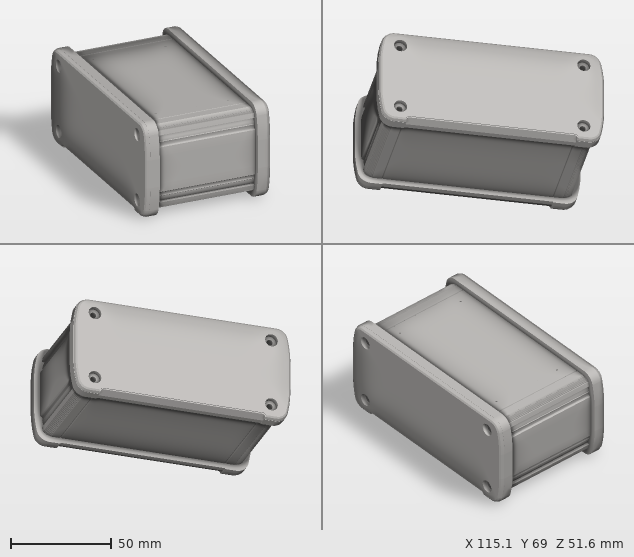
import cadquery as cq
import math

width = 115.1
length = 69.0
height = 51.6

cap_thickness = 7.5
side_flat_half = 7.6
side_radius = 57.5
corner_radius = 6.7

ledge_depth = 2.3
bevel_start_depth = 2.0
bevel_start_inset = 0.1
bevel_break_depth = 0.6
bevel_break_inset = 0.7
face_inset = 1.5

relief_half_width = 43.5
relief_face_height = 2.3
relief_back_height = 0.5
relief_slope_depth = 4.5
relief_corner = 1.0
relief_lip = 0.3
relief_lip_depth = 0.5

screw_x = 46.7
screw_z = 17.8
screw_clearance = 3.1
screw_head_diameter = 6.7
screw_head_depth = 2.9
screw_bore = 2.9
screw_bore_shift = 0.1

body_inset = 3.1
body_length = length - 2 * cap_thickness
body_half_width = width / 2 - body_inset
body_half_height = height / 2 - body_inset
body_side_radius = side_radius - body_inset

groove_start_z = 12.2
groove_floor_start_z = 12.8
groove_floor_end_z = 14.7
bead_start_z = 15.0
bead_end_z = 18.0
rib_start_z = 18.3
rib_end_z = 20.7
groove_floor_depth = 0.9
bead_recess = 0.9
groove_floor_sag = 0.2
bead_fall = 1.2
bead_bulge = 0.29

serration_end_x = 48.6
serration_count = 7
serration_depth = 0.4

v_groove_x = 43.6
v_groove_width = 0.9
v_groove_depth = 0.5

pilot_x = 37.0
pilot_y = 19.9
pilot_diameter = 0.9
pilot_depth = 1.7


def cap_outline(workplane, inset):
    """Cap outline drawn on an XZ workplane, moved inward by inset."""
    half_w = width / 2 - inset
    half_h = height / 2 - inset
    side_r = side_radius - inset
    corner_r = corner_radius - inset
    side_centre_x = width / 2 - side_radius
    corner_z = height / 2 - corner_radius
    centre_gap = side_radius - corner_radius
    blend = math.asin((corner_z - side_flat_half) / centre_gap)
    corner_x = side_centre_x + centre_gap * math.cos(blend)

    def on_side(angle):
        return (side_centre_x + side_r * math.cos(angle), side_flat_half + side_r * math.sin(angle))

    def on_corner(angle):
        return (corner_x + corner_r * math.cos(angle), corner_z + corner_r * math.sin(angle))

    mid_side = on_side(blend / 2)
    blend_point = on_side(blend)
    mid_corner = on_corner((blend + math.pi / 2) / 2)

    def flip(point, sx, sz):
        return (point[0] * sx, point[1] * sz)

    return (
        workplane.moveTo(half_w, -side_flat_half)
        .lineTo(half_w, side_flat_half)
        .threePointArc(mid_side, blend_point)
        .threePointArc(mid_corner, (corner_x, half_h))
        .lineTo(-corner_x, half_h)
        .threePointArc(flip(mid_corner, -1, 1), flip(blend_point, -1, 1))
        .threePointArc(flip(mid_side, -1, 1), (-half_w, side_flat_half))
        .lineTo(-half_w, -side_flat_half)
        .threePointArc(flip(mid_side, -1, -1), flip(blend_point, -1, -1))
        .threePointArc(flip(mid_corner, -1, -1), (-corner_x, -half_h))
        .lineTo(corner_x, -half_h)
        .threePointArc(flip(mid_corner, 1, -1), flip(blend_point, 1, -1))
        .threePointArc(flip(mid_side, 1, -1), (half_w, -side_flat_half))
        .close()
    )


def cap_plane(depth):
    """XZ workplane at a depth behind the outer face of the -Y cap."""
    return cq.Workplane("XZ", origin=(0, depth - length / 2, 0))


def bevel(back_depth, back_inset, front_depth, front_inset):
    """Bevelled layer between two outlines of different inset."""
    back = cap_outline(cap_plane(back_depth), back_inset)
    layer = cap_outline(back.workplane(offset=back_depth - front_depth), front_inset)
    return layer.loft(ruled=True, combine=True)


def relief_opening(margin, depth):
    """Chamfered notch in the cap's bottom edge, enlarged by margin and cut back from the face by depth."""
    bottom = -height / 2
    top = bottom + relief_face_height + margin
    half_w = relief_half_width + margin
    return (
        cap_plane(0)
        .moveTo(-half_w, bottom)
        .lineTo(-half_w, top - relief_corner)
        .lineTo(-half_w + relief_corner, top)
        .lineTo(half_w - relief_corner, top)
        .lineTo(half_w, top - relief_corner)
        .lineTo(half_w, bottom)
        .close()
        .extrude(-depth)
    )


def relief_cutter():
    """Sloped relief that leaves two feet under the cap, with a shallow lip around it in the face."""
    bottom = -height / 2
    front_y = -length / 2
    back_y = front_y + cap_thickness
    wedge = (
        cq.Workplane("YZ", origin=(-width / 2, 0, 0))
        .moveTo(front_y, bottom)
        .lineTo(front_y, bottom + relief_face_height)
        .lineTo(front_y + relief_slope_depth, bottom + relief_back_height)
        .lineTo(back_y, bottom + relief_back_height)
        .lineTo(back_y, bottom)
        .close()
        .extrude(width)
    )
    slope = wedge.intersect(relief_opening(0, cap_thickness))
    return slope.union(relief_opening(relief_lip, relief_lip_depth))


def make_front_cap():
    cap = cap_outline(cap_plane(cap_thickness), 0).extrude(cap_thickness - ledge_depth)
    ledge = cap_outline(cap_plane(ledge_depth), bevel_start_inset).extrude(ledge_depth - bevel_start_depth)
    outer_bevel = bevel(bevel_start_depth, bevel_start_inset, bevel_break_depth, bevel_break_inset)
    face_bevel = bevel(bevel_break_depth, bevel_break_inset, 0, face_inset)
    cap = cap.union(ledge).union(outer_bevel).union(face_bevel)
    cap = cap.cut(relief_cutter())
    screws = cap_plane(0).rect(2 * screw_x, 2 * screw_z, forConstruction=True).vertices()
    cap = cap.cut(screws.circle(screw_clearance / 2).extrude(-cap_thickness))
    return cap.cut(screws.circle(screw_head_diameter / 2).extrude(-screw_head_depth))


def side_x(z):
    """Half width of the smooth body side at height z."""
    rise = z - side_flat_half
    return body_half_width - body_side_radius + math.sqrt(body_side_radius**2 - rise**2)


def serration_points():
    """Alternating valleys and tips along the corner arc, ending on the broad face."""
    run = side_x(rib_end_z) - serration_end_x
    rise = body_half_height - rib_end_z
    radius = (run**2 + rise**2) / (2 * rise)
    centre_z = body_half_height - radius
    start = math.atan2(rib_end_z - centre_z, run)
    step = (math.pi / 2 - start) / (2 * serration_count)
    points = []
    for i in range(1, 2 * serration_count + 1):
        r = radius - serration_depth * (i % 2)
        angle = start + i * step
        points.append((serration_end_x + r * math.cos(angle), centre_z + r * math.sin(angle)))
    return points


def body_quarter():
    """One quarter of the extrusion, bounded by the two planes of symmetry."""
    floor_x = side_x(groove_floor_start_z) - groove_floor_depth
    floor_mid_z = (groove_floor_start_z + groove_floor_end_z) / 2
    bead_x = side_x(bead_start_z) - bead_recess
    bead_mid = (bead_x - bead_fall / 2 + bead_bulge, (bead_start_z + bead_end_z) / 2)
    return (
        cq.Workplane("XZ", origin=(0, body_length / 2, 0))
        .lineTo(body_half_width, 0)
        .lineTo(body_half_width, side_flat_half)
        .threePointArc(
            (side_x((side_flat_half + groove_start_z) / 2), (side_flat_half + groove_start_z) / 2),
            (side_x(groove_start_z), groove_start_z),
        )
        .lineTo(floor_x, groove_floor_start_z)
        .threePointArc((floor_x - groove_floor_sag, floor_mid_z), (floor_x, groove_floor_end_z))
        .lineTo(bead_x, bead_start_z)
        .threePointArc(bead_mid, (bead_x - bead_fall, bead_end_z))
        .lineTo(side_x(rib_start_z), rib_start_z)
        .threePointArc(
            (side_x((rib_start_z + rib_end_z) / 2), (rib_start_z + rib_end_z) / 2),
            (side_x(rib_end_z), rib_end_z),
        )
        .polyline(serration_points(), includeCurrent=True)
        .lineTo(v_groove_x + v_groove_width / 2, body_half_height)
        .lineTo(v_groove_x, body_half_height - v_groove_depth)
        .lineTo(v_groove_x - v_groove_width / 2, body_half_height)
        .lineTo(0, body_half_height)
        .close()
        .extrude(body_length)
    )


def make_body():
    quarter = body_quarter()
    half = quarter.union(quarter.mirror("XY"))
    body = half.union(half.mirror("YZ")).clean()
    bores = (
        cq.Workplane("XZ", origin=(0, body_length / 2, 0))
        .rect(2 * (screw_x + screw_bore_shift), 2 * screw_z, forConstruction=True)
        .vertices()
        .circle(screw_bore / 2)
        .extrude(body_length)
    )
    pilots = (
        cq.Workplane("XY", origin=(0, 0, body_half_height))
        .rect(2 * pilot_x, 2 * pilot_y, forConstruction=True)
        .vertices()
        .circle(pilot_diameter / 2)
        .extrude(-pilot_depth)
    )
    return body.cut(bores).cut(pilots)


body = make_body()
front_cap = make_front_cap()
rear_cap = front_cap.mirror("XZ")

result = cq.Compound.makeCompound([body.val(), front_cap.val(), rear_cap.val()])